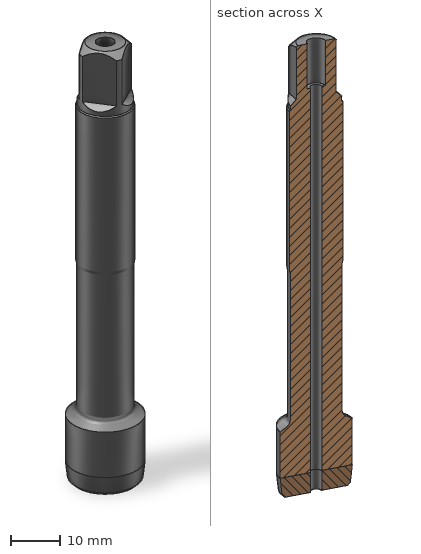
import cadquery as cq

LENGTH = 100.0
BORE_DIAMETER = 2.5
MOUTH_DIAMETER = 4.0
MOUTH_DEPTH = 10.0

SQUARE_SIDE = 9.0
DRIVE_DIAMETER = 11.5
DRIVE_TOP_CHAMFER = 1.6
SQUARE_BOTTOM_Z = 88.1
DRIVE_BASE_Z = 85.9

SHAFT_DIAMETER = 12.0
RELIEF_DIAMETER = 11.7
SHAFT_TOP_CHAMFER = (SHAFT_DIAMETER - DRIVE_DIAMETER) / 2
RELIEF_STEP_Z = 50.3
RELIEF_TAPER_HEIGHT = 0.7

COLLAR_DIAMETER = 16.2
SHOULDER_BOTTOM_Z = 14.8
SHOULDER_SLOPE = 0.58
SHOULDER_FILLET = 1.5

CAP_HEIGHT = 4.4
CAP_LOWER_DIAMETER = 15.4
CAP_CHAMFER = 0.7
CAP_BULGE = 0.03


def revolve_about_z(profile):
    return profile.close().revolve(360, (0, 0, 0), (0, 1, 0))


def bore(bottom_z, top_z):
    return cq.Workplane("XY").workplane(offset=bottom_z).circle(BORE_DIAMETER / 2).extrude(top_z - bottom_z)


def turned_blank():
    """Shaft and collar as turned, before the square is cut."""
    collar_radius = COLLAR_DIAMETER / 2
    relief_radius = RELIEF_DIAMETER / 2
    shaft_radius = SHAFT_DIAMETER / 2
    drive_radius = DRIVE_DIAMETER / 2
    shoulder_top_z = SHOULDER_BOTTOM_Z + SHOULDER_SLOPE * (collar_radius - relief_radius)
    blank = revolve_about_z(
        cq.Workplane("XZ")
        .moveTo(0, CAP_HEIGHT)
        .lineTo(collar_radius, CAP_HEIGHT)
        .lineTo(collar_radius, SHOULDER_BOTTOM_Z)
        .lineTo(relief_radius, shoulder_top_z)
        .lineTo(relief_radius, RELIEF_STEP_Z - RELIEF_TAPER_HEIGHT)
        .lineTo(shaft_radius, RELIEF_STEP_Z)
        .lineTo(shaft_radius, DRIVE_BASE_Z - SHAFT_TOP_CHAMFER)
        .lineTo(drive_radius, DRIVE_BASE_Z)
        .lineTo(drive_radius, LENGTH - DRIVE_TOP_CHAMFER)
        .lineTo(drive_radius - DRIVE_TOP_CHAMFER, LENGTH)
        .lineTo(0, LENGTH)
    )
    shoulder_corner = cq.selectors.BoxSelector(
        (-collar_radius, -collar_radius, shoulder_top_z - 0.1),
        (collar_radius, collar_radius, shoulder_top_z + 0.1),
    )
    return blank.edges(shoulder_corner).edges("%CIRCLE").fillet(SHOULDER_FILLET)


def flat_cutter():
    """Waste beside one flat of the square, running out below at 45 degrees."""
    half_side = SQUARE_SIDE / 2
    reach = SHAFT_DIAMETER / 2
    return (
        cq.Workplane("XZ")
        .moveTo(half_side, LENGTH)
        .lineTo(half_side, SQUARE_BOTTOM_Z)
        .lineTo(reach, SQUARE_BOTTOM_Z - (reach - half_side))
        .lineTo(reach, LENGTH)
        .close()
        .extrude(reach, both=True)
    )


def make_shaft():
    shaft = turned_blank()
    for angle in (0, 90, 180, 270):
        shaft = shaft.cut(flat_cutter().rotate((0, 0, 0), (0, 0, 1), angle))
    mouth = cq.Workplane("XY").workplane(offset=LENGTH).circle(MOUTH_DIAMETER / 2).extrude(-MOUTH_DEPTH)
    return shaft.cut(bore(CAP_HEIGHT, LENGTH)).cut(mouth)


def make_cap():
    """End cap with a slightly barrelled side and a chamfered lower rim."""
    upper_radius = COLLAR_DIAMETER / 2
    lower_radius = CAP_LOWER_DIAMETER / 2
    middle_radius = (upper_radius + lower_radius) / 2 + CAP_BULGE
    middle_z = (CAP_HEIGHT + CAP_CHAMFER) / 2
    cap = revolve_about_z(
        cq.Workplane("XZ")
        .lineTo(lower_radius - CAP_CHAMFER, 0)
        .lineTo(lower_radius, CAP_CHAMFER)
        .threePointArc((middle_radius, middle_z), (upper_radius, CAP_HEIGHT))
        .lineTo(0, CAP_HEIGHT)
    )
    return cap.cut(bore(0, CAP_HEIGHT))


shaft = make_shaft()
cap = make_cap()
result = cq.Compound.makeCompound([shaft.val(), cap.val()])